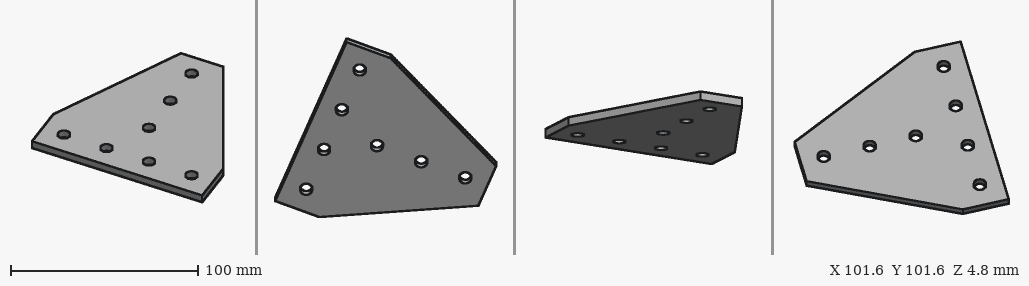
import cadquery as cq

side = 101.6
thickness = 4.8
hole_diameter = 6.6
holes_per_row = 4

pitch = side / holes_per_row
half_side = side / 2
half_top_edge = pitch / 2
shoulder_y = -half_side + pitch
bottom_row_y = -half_side + pitch / 2


def plate():
    """T-shaped joining plate: straight foot, then sides tapering to the top edge."""
    outline = [
        (-half_side, -half_side),
        (half_side, -half_side),
        (half_side, shoulder_y),
        (half_top_edge, half_side),
        (-half_top_edge, half_side),
        (-half_side, shoulder_y),
    ]
    return cq.Workplane("XY").polyline(outline).close().extrude(thickness)


def hole_centres():
    """One row along the foot and a column up the centre line."""
    row_start_x = -half_side + pitch / 2
    row = [(row_start_x + i * pitch, bottom_row_y) for i in range(holes_per_row)]
    column = [(0, bottom_row_y + i * pitch) for i in range(1, holes_per_row)]
    return row + column


result = plate().faces(">Z").workplane(origin=(0, 0, 0)).pushPoints(hole_centres()).hole(hole_diameter)